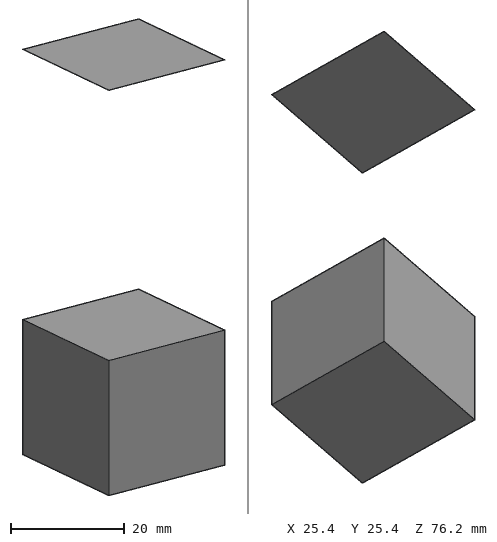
import cadquery as cq

overall_height = 76.2
cube_side = overall_height / 3

cube = cq.Workplane("XY").box(cube_side, cube_side, cube_side, centered=(True, True, False))

sheet_plane = cq.Plane(origin=(0, 0, overall_height))
sheet_outline = cq.Workplane(sheet_plane).rect(cube_side, cube_side).val()
sheet = cq.Face.makeFromWires(sheet_outline)

result = cq.Workplane(obj=cq.Compound.makeCompound([cube.val(), sheet]))